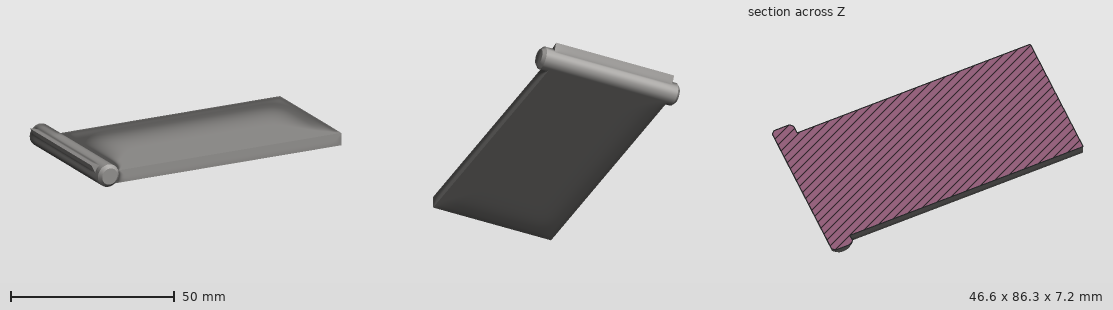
import cadquery as cq
import math

barrel_diameter = 7.2
barrel_radius = barrel_diameter / 2
barrel_chamfer = 1.0

plate_width = 40.0
plate_thickness = 4.0
left_overhang = 3.6
right_overhang = 3.0
barrel_length = left_overhang + plate_width + right_overhang

overall_depth = 86.33
lip_tip_reach = 4.8
lip_tip_height = 3.42
lip_upper_root_reach = 2.05
lip_lower_root_height = 0.85
plate_reach = overall_depth - lip_tip_reach

barrel_left = -barrel_length / 2
plate_left = barrel_left + left_overhang


def make_barrel():
    """Round bar along X with both ends chamfered."""
    bar = cq.Workplane("YZ", origin=(barrel_left, 0, 0)).circle(barrel_radius).extrude(barrel_length)
    return bar.faces("<X or >X").chamfer(barrel_chamfer)


def make_plate():
    """Flat plate starting at the barrel axis, its underside tangent to the barrel."""
    plate = cq.Workplane("XY").box(plate_width, plate_reach, plate_thickness, centered=False)
    return plate.translate((plate_left, 0, -barrel_radius))


def make_lip():
    """Pointed lip as wide as the plate, on the side of the barrel away from it."""
    upper_root = (-lip_upper_root_reach, math.sqrt(barrel_radius**2 - lip_upper_root_reach**2))
    lower_root = (-math.sqrt(barrel_radius**2 - lip_lower_root_height**2), lip_lower_root_height)
    tip = (-lip_tip_reach, lip_tip_height)
    barrel_axis = (0, 0)
    profile = cq.Workplane("YZ", origin=(plate_left, 0, 0)).polyline([barrel_axis, upper_root, tip, lower_root])
    return profile.close().extrude(plate_width)


result = make_barrel().union(make_plate()).union(make_lip())